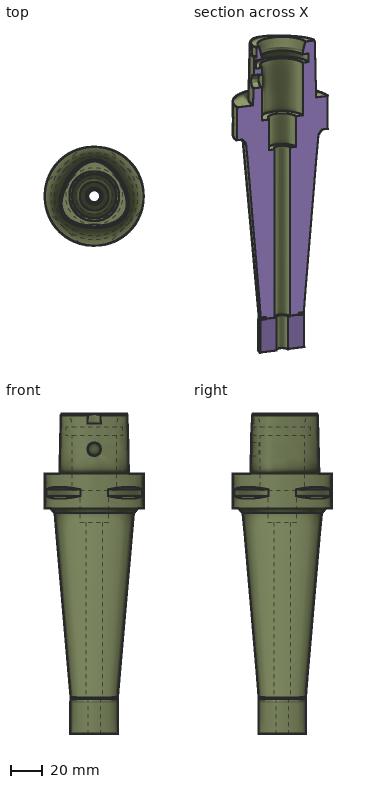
import cadquery as cq
import math

total_length = 203.0
nut_height = 22.0
nut_taper_height = 1.8
gap_height = 1.2
shank_length = 38.0
flange_height = 22.1
collar_height = 3.0
flange_top = total_length - shank_length
flange_bottom = flange_top - flange_height
collar_bottom = flange_bottom - collar_height
body_bottom = nut_height + gap_height

flange_radius = 31.5
collar_top_radius = 27.6
body_top_radius = 25.2
nut_radius = 15.2
body_bottom_radius = 15.0
nut_top_radius = 15.0
neck_radius = 11.5

shank_mean_radius = 22.0
lobe_height = 1.6
lobe_curve_points = 36
shank_taper = 1 / 40
rim_chamfer_height = 1.2
rim_chamfer_width = 0.6

mouth_radius = 15.8
clamp_radius = 14.0
groove_radius = 18.0
mouth_bottom = total_length - 6.5
groove_top = total_length - 8.5
groove_bottom = total_length - 13.8
clamp_bore_bottom = 154.3
middle_bore_radius = 9.1
middle_bore_bottom = 134.0
coolant_radius = 5.3
nut_bore_radius = 3.9

notch_radius = 7.0
notch_depth = 6.3
notch_inner_reach = 17.9
side_hole_diameter = 8.3
side_hole_height = 180.5
side_hole_floor_distance = 14.6

slot_count = 4
slot_floor_distance = 27.6
slot_floor_height = 4.3
slot_mouth_height = 7.5
slot_center_height = 152.9


def revolve_profile(points):
    """Revolve (radius, height) points about the Z axis."""
    return cq.Workplane("XZ").polyline(points).close().revolve(360, (0, 0), (0, 1))


def lobed_wire(mean_radius, height):
    """Closed smooth three-lobed curve with one lobe on +Y and its seam on -Y."""
    points = []
    for index in range(lobe_curve_points):
        angle = math.pi + 2 * math.pi * index / lobe_curve_points
        x = mean_radius * math.sin(angle) - lobe_height * math.sin(2 * angle)
        y = mean_radius * math.cos(angle) + lobe_height * math.cos(2 * angle)
        points.append(cq.Vector(x, y, height))
    return cq.Wire.assembleEdges([cq.Edge.makeSpline(points, periodic=True)])


def make_shank():
    """Tapered lobed shank with a chamfered rim."""
    chamfer_bottom = total_length - rim_chamfer_height
    upper_radius = shank_mean_radius - shank_taper * (chamfer_bottom - flange_top)
    base = lobed_wire(shank_mean_radius, flange_top)
    shoulder = lobed_wire(upper_radius, chamfer_bottom)
    rim = lobed_wire(upper_radius - rim_chamfer_width, total_length)
    taper = cq.Solid.makeLoft([base, shoulder], True)
    chamfer = cq.Solid.makeLoft([shoulder, rim], True)
    return cq.Workplane(taper).union(cq.Workplane(chamfer))


def make_turned_body():
    """Flange, collar, long cone and neck."""
    return revolve_profile([
        (0, nut_height),
        (neck_radius, nut_height),
        (neck_radius, body_bottom),
        (body_bottom_radius, body_bottom),
        (body_top_radius, collar_bottom),
        (collar_top_radius, flange_bottom),
        (flange_radius, flange_bottom),
        (flange_radius, flange_top),
        (0, flange_top),
    ])


def make_bore():
    """Stepped bore running down through the holder."""
    return revolve_profile([
        (0, total_length),
        (mouth_radius, total_length),
        (clamp_radius, mouth_bottom),
        (clamp_radius, groove_top),
        (groove_radius, groove_top),
        (groove_radius, groove_bottom),
        (clamp_radius, groove_bottom),
        (clamp_radius, clamp_bore_bottom),
        (middle_bore_radius, clamp_bore_bottom),
        (middle_bore_radius, middle_bore_bottom),
        (coolant_radius, middle_bore_bottom),
        (coolant_radius, nut_height),
        (0, nut_height),
    ])


def make_notch():
    """Round-backed notch in the -Y side of the shank rim."""
    center_y = -(notch_inner_reach + notch_radius)
    sketch = cq.Workplane("XY").workplane(offset=total_length - notch_depth)
    return sketch.center(0, center_y).circle(notch_radius).extrude(notch_depth)


def make_side_hole():
    """Flat-bottomed radial hole in the -Y side of the shank."""
    sketch = cq.Workplane("XZ", origin=(0, -side_hole_floor_distance, 0)).center(0, side_hole_height)
    return sketch.circle(side_hole_diameter / 2).extrude(flange_radius - side_hole_floor_distance)


def make_slot(angle):
    """Straight slot across the flange that widens towards its mouth."""
    half_floor = slot_floor_height / 2
    half_mouth = slot_mouth_height / 2
    profile = cq.Workplane("XZ").polyline([
        (slot_floor_distance, slot_center_height - half_floor),
        (flange_radius, slot_center_height - half_mouth),
        (flange_radius, slot_center_height + half_mouth),
        (slot_floor_distance, slot_center_height + half_floor),
    ]).close()
    slot = profile.extrude(flange_radius, both=True)
    return slot.rotate((0, 0, 0), (0, 0, 1), angle)


def make_holder():
    """Holder with its shank, bore, side features and gripper slots."""
    holder = make_turned_body().union(make_shank())
    holder = holder.cut(make_bore()).cut(make_notch()).cut(make_side_hole())
    slot_step = 360 / slot_count
    for index in range(slot_count):
        holder = holder.cut(make_slot((index + 0.5) * slot_step))
    return holder


def make_nut():
    """Clamping nut below the neck, slightly tapered at its top."""
    return revolve_profile([
        (nut_bore_radius, 0),
        (nut_radius, 0),
        (nut_radius, nut_height - nut_taper_height),
        (nut_top_radius, nut_height),
        (nut_bore_radius, nut_height),
    ])


holder = make_holder()
nut = make_nut()
result = cq.Compound.makeCompound([holder.val(), nut.val()])